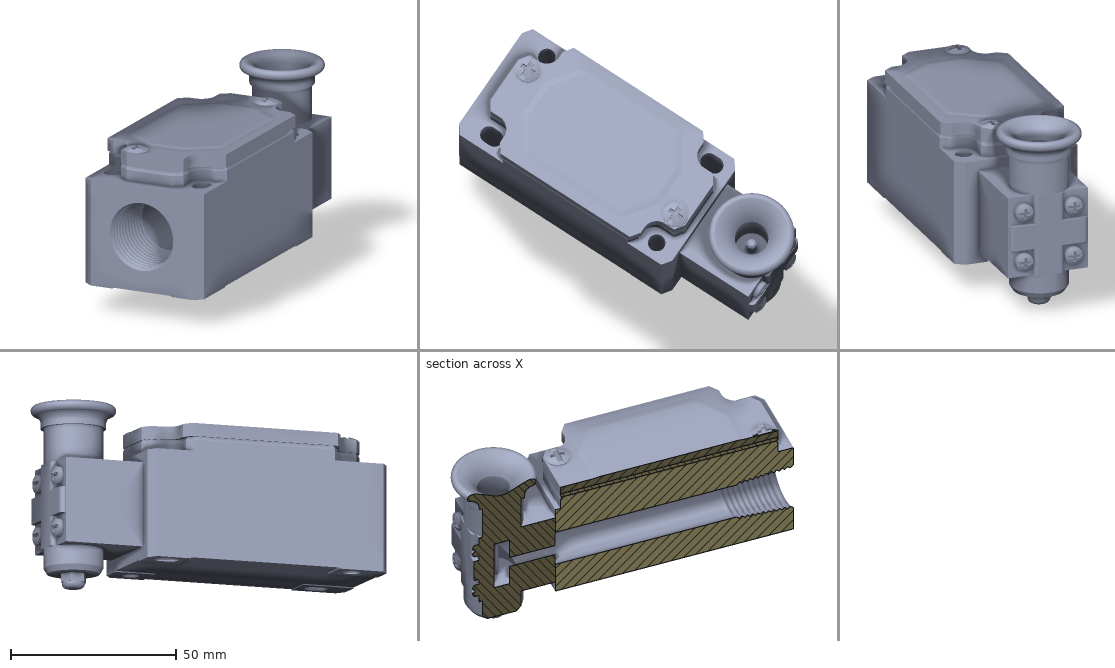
import cadquery as cq
import math


WIDTH = 40.0
HALF_WIDTH = WIDTH / 2
HOUSING_LENGTH = 77.5
SHOULDER_HEIGHT = 33.2
HOUSING_TOP = 37.7
BEVEL_HEIGHT = 1.2
BEVEL_INSET = 0.4
CORNER_CUT_X = 2.9
CORNER_CUT_Y = 2.0

COVER_CENTER_Y = 40.5
GASKET_THICKNESS = 1.4
COVER_THICKNESS = 2.6
GASKET_TOP = HOUSING_TOP + GASKET_THICKNESS
COVER_TOP = GASKET_TOP + COVER_THICKNESS
COVER_HALF_LENGTH = 35.4
NECK_HALF_WIDTH = 10.6
HOUSING_NOTCH_SHIFT = 1.0

PANEL_RISE = 0.2
PANEL_SLOPE_WIDTH = 1.9
PANEL_HALF_WIDTH = 16.4
PANEL_HALF_LENGTH = 25.1
PANEL_END_HALF_WIDTH = 6.2
PANEL_SIDE_HALF_LENGTH = 17.9
PANEL_CORNER_RADIUS = 3.2

HOLE_X = 15.0
HOLE_OFFSET_Y = 30.0
HOLE_DIAMETER = 5.3
SLOT_LENGTH = 7.3
NOTCH_RADIUS = HOLE_X - NECK_HALF_WIDTH

RELIEF_DEPTH = 0.3
RELIEF_WIDTH = 19.9
RELIEF_LENGTH = 48.2

CONDUIT_Z = 17.6
CONDUIT_MOUTH_RADIUS = 10.7
CONDUIT_BORE_RADIUS = 9.1
LEAD_IN = 1.2
THREAD_START_RADIUS = 10.0
THREAD_PITCH = 1.7
THREAD_DEPTH = 0.6
THREAD_TURNS = 10

SLOT_WIDTH_RATIO = 0.42
SLOT_DEPTH_RATIO = 0.9
CROSS_WIDTH_RATIO = 0.32
CROSS_LENGTH_RATIO = 1.2
CROSS_DEPTH_RATIO = 1.2

COVER_SCREW_X = 6.5
COVER_SCREW_OFFSET_Y = 31.2
COVER_SCREW_RADIUS = 3.9
COVER_SCREW_RIM = 0.3
COVER_SCREW_DOME = 1.0

HEAD_SIZE = 25.9
HEAD_Z = 17.0
HEAD_BACK_Y = 102.5
HEAD_BOTTOM = HEAD_Z - HEAD_SIZE / 2
HEAD_TOP = HEAD_Z + HEAD_SIZE / 2
AXIS_Y = 95.0
CAVITY_RADIUS = 6.9
CAVITY_HEIGHT = 17.3
OPENING_RADIUS = 6.7

PLATE_THICKNESS = 1.6
PLATE_ROUNDING = 1.5
PLATE_WIDTH = 25.3
PLATE_BAND_HEIGHT = 7.9
PLATE_SPINE_WIDTH = 9.7
HEAD_SCREW_SPACING = 16.0
HEAD_SCREW_RADIUS = 2.8
HEAD_SCREW_RIM = 1.5
HEAD_SCREW_DOME = 1.0

CUP_TOP = 48.1
CUP_RADIUS = 13.0
BEAD_RADIUS = 1.5
BEAD_CENTER_RADIUS = CUP_RADIUS - BEAD_RADIUS
COLLAR_RADIUS = 9.9
COLLAR_BOTTOM = 41.0
COLLAR_TOP = 42.4
FLARE_BOW = 0.3
TUBE_RADIUS = 9.1
THROAT_RADIUS = 5.1
THROAT_Z = 42.4
DISH_RADIUS = 11.0
DISH_MIDDLE = (7.5, 45.8)

ROD_RADIUS = 1.5
ROD_TOP = 36.7
ROD_TIP_CHAMFER = 0.6
ROD_FOOT_RADIUS = 3.2
BOSS_BOTTOM = -3.6
BOSS_BEVEL_HEIGHT = 1.7
BOSS_BEVEL_WIDTH = 1.1
HEX_ACROSS_FLATS = 7.0
HEX_BOTTOM = -6.2
ROD_BOTTOM = -8.0
ROD_END_FILLET = 1.5


def cover_outline(notch_shift, z):
    """Symmetric outline with cut corners and a rounded notch at each mounting hole."""
    end = COVER_HALF_LENGTH
    ear = HOLE_OFFSET_Y - notch_shift
    step = ear - NOTCH_RADIUS
    neck = NECK_HALF_WIDTH
    arc_offset = NOTCH_RADIUS * math.sqrt(0.5)
    arc_middle = (HOLE_X - arc_offset, ear - arc_offset)
    quarter = (
        cq.Workplane("XY")
        .lineTo(HALF_WIDTH, 0)
        .lineTo(HALF_WIDTH, step - CORNER_CUT_Y)
        .lineTo(HALF_WIDTH - CORNER_CUT_X, step)
        .lineTo(HOLE_X, step)
        .threePointArc(arc_middle, (neck, ear))
        .lineTo(neck, end - CORNER_CUT_Y)
        .lineTo(neck - CORNER_CUT_X, end)
        .lineTo(0, end)
        .close()
        .extrude(1.1)
    )
    half = quarter.union(quarter.mirror("YZ"))
    whole = half.union(half.mirror("XZ")).clean()
    outline = whole.faces("<Z").wires().val()
    return cq.Workplane("XY").add(outline.translate(cq.Vector(0, COVER_CENTER_Y, z))).toPending()


def screw_head(radius, rim, dome):
    """Domed head standing on Z = 0, with a full slot along X and a deeper cross recess."""
    height = rim + dome
    dome_radius = (radius**2 + dome**2) / (2 * dome)
    mid_radius = radius / 2
    mid_height = height - dome_radius + math.sqrt(dome_radius**2 - mid_radius**2)
    slot_width = SLOT_WIDTH_RATIO * radius
    slot_depth = SLOT_DEPTH_RATIO * dome
    cross_width = CROSS_WIDTH_RATIO * radius
    cross_length = CROSS_LENGTH_RATIO * radius
    cross_depth = CROSS_DEPTH_RATIO * dome
    head = (
        cq.Workplane("XZ")
        .lineTo(radius, 0)
        .lineTo(radius, rim)
        .threePointArc((mid_radius, mid_height), (0, height))
        .close()
        .revolve(360, (0, 0, 0), (0, 1, 0))
    )
    top = cq.Workplane("XY", origin=(0, 0, height))
    slot = top.rect(2 * radius, slot_width).extrude(-slot_depth)
    cross_along = top.rect(cross_length, cross_width).extrude(-cross_depth)
    cross_across = top.rect(cross_width, cross_length).extrude(-cross_depth)
    return head.cut(slot).cut(cross_along).cut(cross_across)


def conduit_cutter():
    """Tapered thread of ring grooves, followed by a plain bore through to the head."""
    thread_length = THREAD_TURNS * THREAD_PITCH
    slope = (THREAD_START_RADIUS - CONDUIT_BORE_RADIUS) / thread_length
    profile = cq.Workplane("XY").lineTo(CONDUIT_MOUTH_RADIUS, 0).lineTo(THREAD_START_RADIUS, LEAD_IN)
    for turn in range(THREAD_TURNS):
        root = (turn + 0.5) * THREAD_PITCH
        crest = (turn + 1) * THREAD_PITCH
        profile = profile.lineTo(THREAD_START_RADIUS - slope * root + THREAD_DEPTH, LEAD_IN + root)
        profile = profile.lineTo(THREAD_START_RADIUS - slope * crest, LEAD_IN + crest)
    profile = profile.lineTo(CONDUIT_BORE_RADIUS, HOUSING_LENGTH).lineTo(0, HOUSING_LENGTH).close()
    return profile.revolve(360, (0, 0, 0), (0, 1, 0)).translate((0, 0, CONDUIT_Z))


def mounting_hole_cutter():
    """Two round holes and two slots, placed on opposite diagonals."""
    start = cq.Workplane("XY", origin=(0, COVER_CENTER_Y, 0))
    holes = (
        start.pushPoints([(HOLE_X, HOLE_OFFSET_Y), (-HOLE_X, -HOLE_OFFSET_Y)])
        .circle(HOLE_DIAMETER / 2)
        .extrude(HOUSING_TOP)
    )
    slots = (
        start.pushPoints([(-HOLE_X, HOLE_OFFSET_Y), (HOLE_X, -HOLE_OFFSET_Y)])
        .slot2D(SLOT_LENGTH, HOLE_DIAMETER, 90)
        .extrude(HOUSING_TOP)
    )
    return holes.union(slots)


def make_housing():
    right_side = [
        (HALF_WIDTH - CORNER_CUT_X, 0),
        (HALF_WIDTH, CORNER_CUT_Y),
        (HALF_WIDTH, HOUSING_LENGTH - CORNER_CUT_Y),
        (HALF_WIDTH - CORNER_CUT_X, HOUSING_LENGTH),
    ]
    left_side = [(-x, y) for x, y in reversed(right_side)]
    base = cq.Workplane("XY").polyline(right_side + left_side).close().extrude(SHOULDER_HEIGHT)

    bevel_start = HOUSING_TOP - BEVEL_HEIGHT
    bevel_angle = math.degrees(math.atan2(BEVEL_INSET, BEVEL_HEIGHT))
    wall = cover_outline(HOUSING_NOTCH_SHIFT, SHOULDER_HEIGHT).extrude(bevel_start - SHOULDER_HEIGHT)
    bevel = cover_outline(HOUSING_NOTCH_SHIFT, bevel_start).extrude(BEVEL_HEIGHT, taper=bevel_angle)

    relief = cq.Workplane("XY", origin=(0, COVER_CENTER_Y, 0))
    relief_along = relief.rect(RELIEF_WIDTH, 2 * HOUSING_LENGTH).extrude(RELIEF_DEPTH)
    relief_across = relief.rect(WIDTH, RELIEF_LENGTH).extrude(RELIEF_DEPTH)
    return (
        base.union(wall)
        .union(bevel)
        .cut(mounting_hole_cutter())
        .cut(conduit_cutter())
        .cut(relief_along)
        .cut(relief_across)
    )


def make_gasket():
    return cover_outline(0, HOUSING_TOP).extrude(GASKET_THICKNESS)


def make_cover():
    """Flat plate with a low octagonal panel that has rounded corners and sloping sides."""
    plate = cover_outline(0, GASKET_TOP).extrude(COVER_THICKNESS)
    right_side = [
        (PANEL_END_HALF_WIDTH, -PANEL_HALF_LENGTH),
        (PANEL_HALF_WIDTH, -PANEL_SIDE_HALF_LENGTH),
        (PANEL_HALF_WIDTH, PANEL_SIDE_HALF_LENGTH),
        (PANEL_END_HALF_WIDTH, PANEL_HALF_LENGTH),
    ]
    left_side = [(-x, -y) for x, y in right_side]
    panel = (
        cq.Workplane("XY", origin=(0, COVER_CENTER_Y, GASKET_TOP))
        .polyline(right_side + left_side)
        .close()
        .extrude(COVER_THICKNESS + PANEL_RISE)
        .edges("|Z")
        .fillet(PANEL_CORNER_RADIUS)
    )
    panel = panel.faces(">Z").chamfer(PANEL_RISE, PANEL_SLOPE_WIDTH)
    return plate.union(panel)


def make_cover_screws():
    screws = []
    for side in (1, -1):
        head = screw_head(COVER_SCREW_RADIUS, COVER_SCREW_RIM, COVER_SCREW_DOME)
        place = (side * COVER_SCREW_X, COVER_CENTER_Y + side * COVER_SCREW_OFFSET_Y, COVER_TOP)
        screws.append(head.translate(place))
    return screws


def head_block():
    """Square block with a vertical cavity that opens toward the housing."""
    depth = HEAD_BACK_Y - HOUSING_LENGTH
    block = (
        cq.Workplane("XY", origin=(0, HOUSING_LENGTH + depth / 2, HEAD_BOTTOM))
        .rect(HEAD_SIZE, depth)
        .extrude(HEAD_SIZE)
    )
    cavity = (
        cq.Workplane("XY", origin=(0, AXIS_Y, HEAD_Z - CAVITY_HEIGHT / 2))
        .circle(CAVITY_RADIUS)
        .extrude(CAVITY_HEIGHT)
    )
    opening = (
        cq.Workplane("XZ", origin=(0, HOUSING_LENGTH, HEAD_Z))
        .circle(OPENING_RADIUS)
        .extrude(HOUSING_LENGTH - AXIS_Y)
    )
    return block.cut(cavity).cut(opening)


def plate_bar(width, height):
    """Bar on the back of the block with its two outer upright edges rounded."""
    bar = (
        cq.Workplane("XZ", origin=(0, HEAD_BACK_Y, HEAD_Z))
        .rect(width, height)
        .extrude(-PLATE_THICKNESS)
    )
    return bar.faces(">Y").edges("|Z").fillet(PLATE_ROUNDING)


def back_plate():
    """Cross-shaped plate with a screw head in each of its four open corners."""
    plate = plate_bar(PLATE_WIDTH, PLATE_BAND_HEIGHT).union(plate_bar(PLATE_SPINE_WIDTH, HEAD_SIZE))
    head = screw_head(HEAD_SCREW_RADIUS, HEAD_SCREW_RIM, HEAD_SCREW_DOME)
    head = head.rotate((0, 0, 0), (1, 0, 0), -90)
    for side in (-1, 1):
        for level in (-1, 1):
            x = side * HEAD_SCREW_SPACING / 2
            z = HEAD_Z + level * HEAD_SCREW_SPACING / 2
            plate = plate.union(head.translate((x, HEAD_BACK_Y, z)))
    return plate


def cup():
    """Tube that flares into a dish with a beaded rim."""
    bead_z = CUP_TOP - BEAD_RADIUS
    bead_bottom = bead_z - BEAD_RADIUS
    dish_rim_z = bead_z + math.sqrt(BEAD_RADIUS**2 - (BEAD_CENTER_RADIUS - DISH_RADIUS) ** 2)
    flare_middle = (
        (COLLAR_RADIUS + BEAD_CENTER_RADIUS) / 2 - FLARE_BOW,
        (COLLAR_TOP + bead_bottom) / 2 + FLARE_BOW,
    )
    return (
        cq.Workplane("XZ", origin=(0, AXIS_Y, 0))
        .moveTo(THROAT_RADIUS, HEAD_TOP)
        .lineTo(TUBE_RADIUS, HEAD_TOP)
        .lineTo(TUBE_RADIUS, COLLAR_BOTTOM)
        .lineTo(COLLAR_RADIUS, COLLAR_BOTTOM)
        .lineTo(COLLAR_RADIUS, COLLAR_TOP)
        .threePointArc(flare_middle, (BEAD_CENTER_RADIUS, bead_bottom))
        .threePointArc((CUP_RADIUS, bead_z), (DISH_RADIUS, dish_rim_z))
        .threePointArc(DISH_MIDDLE, (THROAT_RADIUS, THROAT_Z))
        .close()
        .revolve(360, (0, 0, 0), (0, 1, 0))
    )


def lower_boss():
    """Round boss under the block, beveled at its lower end."""
    return (
        cq.Workplane("XY", origin=(0, AXIS_Y, BOSS_BOTTOM))
        .circle(TUBE_RADIUS)
        .extrude(HEAD_BOTTOM - BOSS_BOTTOM)
        .faces("<Z")
        .chamfer(BOSS_BEVEL_HEIGHT, BOSS_BEVEL_WIDTH)
    )


def rod():
    """Thin rod along the cup axis, with a flared foot, a hexagon and a rounded lower end."""
    shaft = (
        cq.Workplane("XY", origin=(0, AXIS_Y, HEX_BOTTOM))
        .circle(ROD_RADIUS)
        .extrude(ROD_TOP - HEX_BOTTOM)
        .faces(">Z")
        .chamfer(ROD_TIP_CHAMFER)
    )
    flare = ROD_FOOT_RADIUS - ROD_RADIUS
    flare_middle = flare * (1 - math.sqrt(0.5))
    foot = (
        cq.Workplane("XZ", origin=(0, AXIS_Y, HEAD_TOP))
        .lineTo(ROD_FOOT_RADIUS, 0)
        .threePointArc((ROD_RADIUS + flare_middle, flare_middle), (ROD_RADIUS, flare))
        .lineTo(0, flare)
        .close()
        .revolve(360, (0, 0, 0), (0, 1, 0))
    )
    across_corners = HEX_ACROSS_FLATS / math.cos(math.pi / 6)
    hexagon = (
        cq.Workplane("XY", origin=(0, AXIS_Y, HEX_BOTTOM))
        .transformed(rotate=(0, 0, 90))
        .polygon(6, across_corners)
        .extrude(BOSS_BOTTOM - HEX_BOTTOM)
    )
    end = (
        cq.Workplane("XY", origin=(0, AXIS_Y, ROD_BOTTOM))
        .circle(HEX_ACROSS_FLATS / 2)
        .extrude(HEX_BOTTOM - ROD_BOTTOM)
        .faces("<Z")
        .edges()
        .fillet(ROD_END_FILLET)
    )
    return shaft.union(foot).union(hexagon).union(end)


def make_actuator_head():
    return head_block().union(back_plate()).union(cup()).union(lower_boss()).union(rod())


housing = make_housing()
gasket = make_gasket()
cover = make_cover()
cover_screws = make_cover_screws()
actuator_head = make_actuator_head()

result = cq.Compound.makeCompound(
    [
        housing.val(),
        gasket.val(),
        cover.val(),
        *[screw.val() for screw in cover_screws],
        actuator_head.val(),
    ]
)